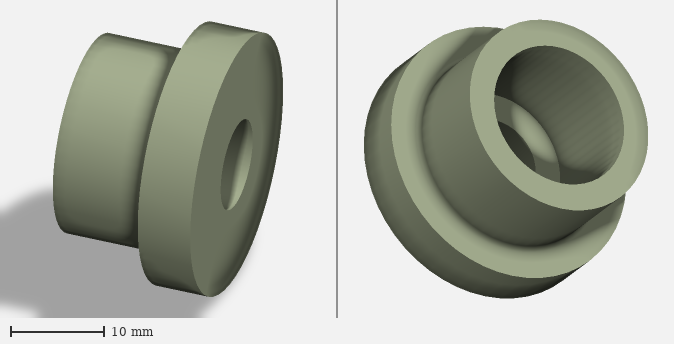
import cadquery as cq

flange_diameter = 29.0
flange_thickness = 6.0
sleeve_diameter = 22.0
total_length = 17.0
counterbore_diameter = 16.0
through_hole_diameter = 10.0
root_fillet_radius = 0.5

sleeve_length = total_length - flange_thickness
wall_thickness = (sleeve_diameter - counterbore_diameter) / 2
counterbore_depth = total_length - wall_thickness
sleeve_end_x = -total_length / 2
flange_face_x = sleeve_end_x + sleeve_length


def cylinder_along_x(diameter, start_x, length):
    """Solid cylinder on the X axis, growing toward +X from start_x."""
    return cq.Workplane("YZ", origin=(start_x, 0, 0)).circle(diameter / 2).extrude(length)


sleeve = cylinder_along_x(sleeve_diameter, sleeve_end_x, sleeve_length)
flange = cylinder_along_x(flange_diameter, flange_face_x, flange_thickness)
body = (
    sleeve.union(flange)
    .faces("<X[1]")
    .edges(cq.selectors.RadiusNthSelector(0))
    .fillet(root_fillet_radius)
)

counterbore = cylinder_along_x(counterbore_diameter, sleeve_end_x, counterbore_depth)
through_hole = cylinder_along_x(through_hole_diameter, sleeve_end_x, total_length)

result = body.cut(counterbore).cut(through_hole)